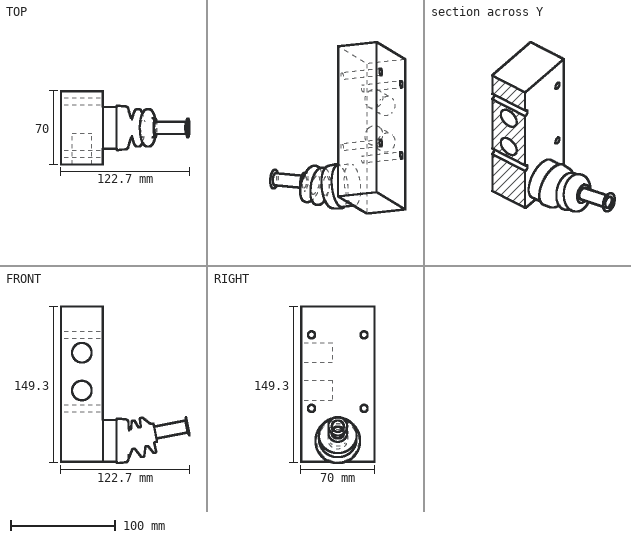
import cadquery as cq
import math

OVERALL_LENGTH = 122.7

BODY_LENGTH = 40.0
BODY_WIDTH = 70.0
BODY_HEIGHT = 148.0

MOUNT_DIAMETER = 6.5
MOUNT_SPACING_Y = 50.0
MOUNT_SPACING_Z = 70.0
MOUNT_LOWEST_Z = 50.9

PORT_DIAMETER = 18.7
PORT_DEPTH = 29.9
PORT_X = BODY_LENGTH / 2
PORT_HEIGHTS = (68.0, 103.9)

NECK_DIAMETER = BODY_LENGTH
AXIS_Z = NECK_DIAMETER / 2
NECK_LENGTH = 13.0
CAP_OVERHANG = 1.3
CAP_RADIUS = NECK_DIAMETER / 2 + CAP_OVERHANG
CAP_LIP_ROUND = 1.2
CAP_TAPER_END_X = 61.5
CAP_TAPER_END_RADIUS = 20.6
CAP_FACE_X = 64.5
CAP_FACE_RADIUS = 17.3

DISC_DIAMETER = 36.0
DISC_THICKNESS = 2.7
DISC_EDGE_ROUND = 1.2
GROOVE_RADIUS = 9.5
GROOVE_WIDTH = 2.1
GROOVE_ROUND = 0.9
COLLAR_DIAMETER = 18.0
COLLAR_WIDTH = 2.8

LEVER_TILT = 11.0

INNER_GROOVE = (67.5, 21.6, 10.5)
INNER_DISC = (73.5, 22.0, 15.2)
OUTER_GROOVE = (78.4, 23.9, 20.0)
OUTER_DISC = (83.0, 25.2, 22.2)
COLLAR = (88.5, 27.6, LEVER_TILT)

LEVER_DIAMETER = 12.0
LEVER_BORE = 11.0
LEVER_TIP_RADIUS = COLLAR_DIAMETER / 2
LEVER_FLARE_LENGTH = 1.5
LEVER_RIM = 0.1

RADIUS_TOLERANCE = 0.01


def make_body():
    body = cq.Workplane("XY").box(BODY_LENGTH, BODY_WIDTH, BODY_HEIGHT, centered=(False, True, False))
    mount_points = [
        (side * MOUNT_SPACING_Y / 2, MOUNT_LOWEST_Z + row * MOUNT_SPACING_Z)
        for side in (-1, 1)
        for row in (0, 1)
    ]
    mounts = cq.Workplane("YZ").pushPoints(mount_points).circle(MOUNT_DIAMETER / 2).extrude(BODY_LENGTH)
    ports = (
        cq.Workplane("XZ", origin=(0, -BODY_WIDTH / 2, 0))
        .pushPoints([(PORT_X, height) for height in PORT_HEIGHTS])
        .circle(PORT_DIAMETER / 2)
        .extrude(-PORT_DEPTH)
    )
    return body.cut(mounts).cut(ports)


def make_neck_and_cap():
    """Half profile (X, radius) turned about the neck axis."""
    cap_start_x = BODY_LENGTH + NECK_LENGTH
    return (
        cq.Workplane("XZ", origin=(0, 0, AXIS_Z))
        .moveTo(BODY_LENGTH, 0)
        .lineTo(BODY_LENGTH, NECK_DIAMETER / 2)
        .lineTo(cap_start_x, NECK_DIAMETER / 2)
        .lineTo(cap_start_x, CAP_RADIUS - CAP_LIP_ROUND)
        .radiusArc((cap_start_x + CAP_LIP_ROUND, CAP_RADIUS), CAP_LIP_ROUND)
        .lineTo(CAP_TAPER_END_X, CAP_TAPER_END_RADIUS)
        .tangentArcPoint((CAP_FACE_X, CAP_FACE_RADIUS), relative=False)
        .lineTo(CAP_FACE_X, 0)
        .close()
        .revolve(360, (0, 0, 0), (1, 0, 0))
    )


def leaning_axis(lean):
    return cq.Vector(math.cos(math.radians(lean)), 0, math.sin(math.radians(lean)))


def circle_wire(centre, axis, radius):
    plane = cq.Plane(origin=centre, xDir=(0, 1, 0), normal=axis)
    return cq.Wire.assembleEdges(cq.Workplane(plane).circle(radius).edges().vals())


def ring_pair(station, radius, width):
    """Two equal circles, one on each side of a leaning bellows member."""
    x, z, lean = station
    axis = leaning_axis(lean)
    centre = cq.Vector(x, 0, z)
    return [
        circle_wire(centre + axis * (side * width / 2), axis, radius)
        for side in (-1, 1)
    ]


def circles_of_radius(solid, radius):
    return [
        edge for edge in solid.Edges()
        if edge.geomType() == "CIRCLE" and math.isclose(edge.radius(), radius, abs_tol=RADIUS_TOLERANCE)
    ]


def make_bellows():
    """Straight-sided loft from the cap face to the collar, with its edges then rounded."""
    rings = [circle_wire(cq.Vector(CAP_FACE_X, 0, AXIS_Z), cq.Vector(1, 0, 0), CAP_FACE_RADIUS)]
    rings += ring_pair(INNER_GROOVE, GROOVE_RADIUS, GROOVE_WIDTH)
    rings += ring_pair(INNER_DISC, DISC_DIAMETER / 2, DISC_THICKNESS)
    rings += ring_pair(OUTER_GROOVE, GROOVE_RADIUS, GROOVE_WIDTH)
    rings += ring_pair(OUTER_DISC, DISC_DIAMETER / 2, DISC_THICKNESS)
    rings += ring_pair(COLLAR, COLLAR_DIAMETER / 2, COLLAR_WIDTH)
    bellows = cq.Solid.makeLoft(rings, True)
    bellows = bellows.fillet(DISC_EDGE_ROUND, circles_of_radius(bellows, DISC_DIAMETER / 2))
    bellows = bellows.fillet(GROOVE_ROUND, circles_of_radius(bellows, GROOVE_RADIUS))
    collar_base = min(circles_of_radius(bellows, COLLAR_DIAMETER / 2), key=lambda edge: edge.Center().x)
    bellows = bellows.fillet(GROOVE_ROUND, [collar_base])
    return cq.Workplane(bellows)


def make_lever():
    """Half profile (distance along the lever, radius) turned about the tilted lever axis."""
    start_x, start_z, tilt = COLLAR
    axis = leaning_axis(tilt)
    tip_x = OVERALL_LENGTH - LEVER_TIP_RADIUS * axis.z
    length = (tip_x - start_x) / axis.x
    plane = cq.Plane(origin=(start_x, 0, start_z), xDir=axis, normal=(0, -1, 0))
    return (
        cq.Workplane(plane)
        .moveTo(0, 0)
        .lineTo(0, LEVER_DIAMETER / 2)
        .lineTo(length - LEVER_FLARE_LENGTH, LEVER_DIAMETER / 2)
        .lineTo(length - LEVER_RIM, LEVER_TIP_RADIUS)
        .lineTo(length, LEVER_TIP_RADIUS)
        .lineTo(length, LEVER_BORE / 2)
        .lineTo(COLLAR_WIDTH / 2, LEVER_BORE / 2)
        .lineTo(COLLAR_WIDTH / 2, 0)
        .close()
        .revolve(360, (0, 0, 0), (1, 0, 0))
    )


result = make_body().union(make_neck_and_cap()).union(make_bellows()).union(make_lever())